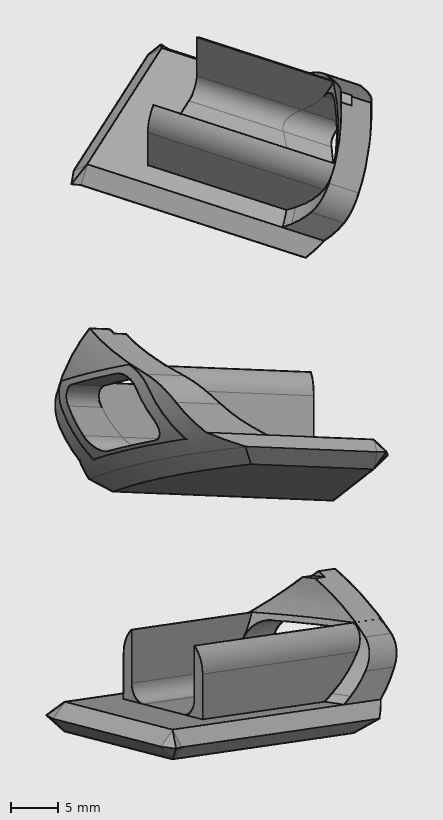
import cadquery as cq
import math

plate_top = 3.2
plate_mid = 1.57
plate_half_width = 9.5
edge_half_width = 11.15
rear_bevel = 1.57
spur_x = 0.6
spur_span = 22.9
front_reach = 35.35

apex_z = 15.7
shoulder_y = 8.8
shoulder_z = 8.4
shoulder_radius = 5.08
axis_x = -12.02
axis_y = -17.97
ring_radius = 30.02
arc_z = 13.8
outer_radius = 15.97
inner_radius = 12.75
tangent_angle = math.radians(50)
profile_top = 19.3
profile_bottom = -0.65

notch_z = 15.1
notch_depth = 1.15

trough_rear = 7.45
trough_half_width = 6.97
channel_half_width = 5.53
wall_top = 10.93
wall_arc_start = 8.13
tunnel_top = 10.25
channel_fillet = 1.95
trough_recess = 0.32


def nose(radius):
    """Solid of revolution bounded by an arc that runs tangentially into a cone."""
    def arc_point(angle):
        return ring_radius + radius * math.cos(angle), arc_z - radius * math.sin(angle)

    top_angle = -math.asin((profile_top - arc_z) / radius)
    tangent_point = arc_point(tangent_angle)
    cone_end = tangent_point[0] - (tangent_point[1] - profile_bottom) * math.tan(tangent_angle)
    return (
        cq.Workplane("XZ")
        .moveTo(0, profile_bottom)
        .lineTo(cone_end, profile_bottom)
        .lineTo(*tangent_point)
        .threePointArc(arc_point((top_angle + tangent_angle) / 2), arc_point(top_angle))
        .lineTo(0, profile_top)
        .close()
        .revolve(360, (0, 0, 0), (0, 1, 0))
        .translate((axis_x, axis_y, 0))
    )


def polyhedron(faces):
    """Solid from planar faces, each given by its corner points."""
    panels = [
        cq.Face.makeFromWires(cq.Wire.makePolygon([cq.Vector(*p) for p in face], close=True))
        for face in faces
    ]
    return cq.Workplane(obj=cq.Solid.makeSolid(cq.Shell.makeShell(panels)))


def corner_spur(side):
    """Pointed spur closing the gap between the rear and side bevels."""
    top = (rear_bevel, side * plate_half_width, plate_top)
    bottom = (rear_bevel, side * plate_half_width, 0)
    rear = (0, side * plate_half_width, plate_mid)
    tip = (spur_x, side * spur_span / 2, plate_mid)
    flank = (rear_bevel, side * edge_half_width, plate_mid)
    return polyhedron([
        (top, rear, tip), (top, tip, flank), (top, flank, bottom),
        (bottom, rear, tip), (bottom, tip, flank), (top, rear, bottom),
    ])


def plate():
    """Plate with knife edges along its sides and rear."""
    body = (
        cq.Workplane("YZ", origin=(rear_bevel, 0, 0))
        .polyline([
            (-plate_half_width, 0), (plate_half_width, 0), (edge_half_width, plate_mid),
            (plate_half_width, plate_top), (-plate_half_width, plate_top),
            (-edge_half_width, plate_mid),
        ])
        .close()
        .extrude(front_reach)
    )
    rear_edge = (
        cq.Workplane("XZ", origin=(0, plate_half_width, 0))
        .polyline([(rear_bevel, 0), (rear_bevel, plate_top), (0, plate_mid)])
        .close()
        .extrude(2 * plate_half_width)
    )
    body = body.union(rear_edge)
    for side in (-1, 1):
        body = body.union(corner_spur(side))
    return body


def gable():
    """Hood outline with rounded shoulders, swept along X."""
    margin = 0.32
    box_corner = (front_reach, shoulder_y + margin, shoulder_z + margin)
    return (
        cq.Workplane("YZ")
        .polyline([
            (-plate_half_width, plate_top), (-shoulder_y, shoulder_z), (0, apex_z),
            (shoulder_y, shoulder_z), (plate_half_width, plate_top),
        ])
        .close()
        .extrude(front_reach)
        .edges(cq.selectors.BoxSelector((0, -shoulder_y - margin, shoulder_z - margin), box_corner))
        .fillet(shoulder_radius)
    )


def ridge_notch():
    """Everything above the notch floor and behind its upright wall."""
    crest_radius = ring_radius + math.sqrt(inner_radius**2 - (notch_z - arc_z) ** 2)
    return (
        cq.Workplane("XY", origin=(axis_x, axis_y, notch_z))
        .circle(crest_radius + notch_depth)
        .extrude(profile_top - notch_z)
    )


def channel(top):
    """Slot between the trough walls, with rounded lower edges."""
    return (
        cq.Workplane("XY")
        .box(front_reach, 2 * channel_half_width, top - plate_top, centered=(False, True, False))
        .translate((0, 0, plate_top))
        .edges("|X and <Z")
        .fillet(channel_fillet)
    )


def tunnel():
    """Bore of the tube, rounded at all four corners."""
    return channel(tunnel_top).edges("|X and >Z").fillet(channel_fillet)


def trough_body():
    """Open trough behind the hood, closed into a tube where it passes through the hood."""
    shoulder_drop = trough_half_width - channel_half_width
    shoulder_rise = wall_top - wall_arc_start
    arc_radius = (shoulder_drop**2 + shoulder_rise**2) / (2 * shoulder_drop)
    half_sweep = math.asin(shoulder_rise / arc_radius) / 2
    arc_mid_y = trough_half_width - arc_radius * (1 - math.cos(half_sweep))
    arc_mid_z = wall_arc_start + arc_radius * math.sin(half_sweep)
    floor_z = plate_top - trough_recess
    blank = (
        cq.Workplane("YZ", origin=(trough_rear, 0, 0))
        .moveTo(-trough_half_width, floor_z)
        .lineTo(trough_half_width, floor_z)
        .lineTo(trough_half_width, wall_arc_start)
        .threePointArc((arc_mid_y, arc_mid_z), (channel_half_width, wall_top))
        .lineTo(-channel_half_width, wall_top)
        .threePointArc((-arc_mid_y, arc_mid_z), (-trough_half_width, wall_arc_start))
        .close()
        .extrude(front_reach)
    )
    open_part = blank.intersect(nose(inner_radius)).cut(channel(wall_top))
    tube_part = blank.intersect(nose(outer_radius)).cut(nose(inner_radius)).cut(tunnel())
    return open_part.union(tube_part, clean=False)


def housing_body(trough):
    """Plate and hood in one piece, pierced and recessed for the trough."""
    hood = gable().cut(nose(inner_radius)).cut(ridge_notch())
    return plate().union(hood).intersect(nose(outer_radius)).cut(tunnel()).cut(trough)


trough = trough_body()
housing = housing_body(trough)
result = cq.Compound.makeCompound([housing.val(), trough.val()])